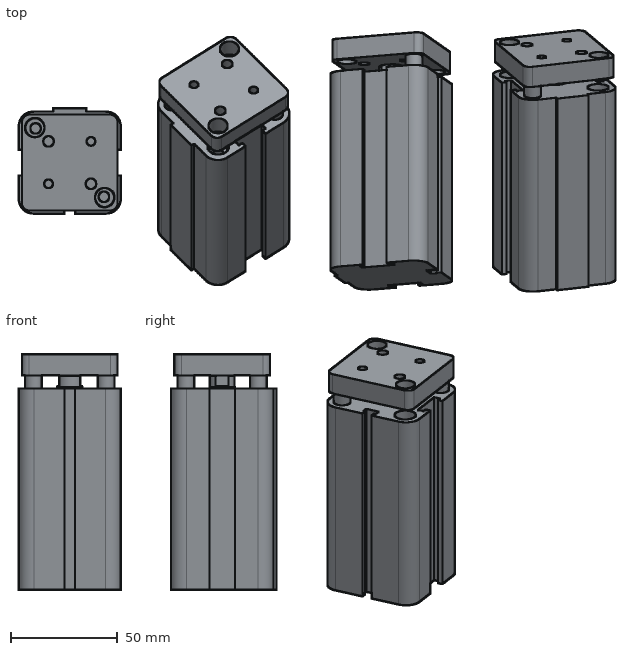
import cadquery as cq

total_height = 110.5
housing_width = 48.0
housing_corner_radius = 7.2

plate_width = 45.0
plate_thickness = 10.0
plate_corner_radius = 3.4
plate_gap = 6.1

plate_bottom = total_height - plate_thickness
housing_height = plate_bottom - plate_gap
half_width = housing_width / 2

rail_width = 15.7
rail_height = 1.5

side_slot_opening = 11.9
side_slot_channel = 16.0
front_slot_opening = 5.0
front_slot_channel = 6.6
slot_lip = 2.4
slot_depth = 5.4

screw_offset = 16.0
screw_diameter = 5.0
screw_head_diameter = 10.0
screw_head_depth = 5.6
screw_hole_depth = 14.5
access_offset = 16.4
access_diameter = 9.0

mount_offset = 10.0
dowel_diameter = 5.0
thread_diameter = 4.1

guide_offset = 17.0
guide_diameter = 8.0
piston_diameter = 11.7
piston_chamfer = 0.3
collar_diameter = 12.0
collar_height = 0.7
collar_chamfer_height = 0.3
collar_chamfer_width = (collar_diameter - piston_diameter) / 2
flat_width = 10.0
flat_start = 1.1


def falling_diagonal(offset):
    """Points in the back-left and front-right corners."""
    return [(-offset, offset), (offset, -offset)]


def rising_diagonal(offset):
    """Points in the front-left and back-right corners."""
    return [(-offset, -offset), (offset, offset)]


def t_slot(opening, channel, turn):
    """Full-height T-slot cutter for the front face, turned about Z to another face."""
    mouth = cq.Workplane("XY").box(opening, slot_depth, housing_height, centered=(True, False, False))
    channel_depth = slot_depth - slot_lip
    wide_part = (
        cq.Workplane("XY")
        .box(channel, channel_depth, housing_height, centered=(True, False, False))
        .translate((0, slot_lip, 0))
    )
    cutter = mouth.union(wide_part).translate((0, -half_width, 0))
    return cutter.rotate((0, 0, 0), (0, 0, 1), turn)


def make_housing():
    body = (
        cq.Workplane("XY")
        .box(housing_width, housing_width, housing_height, centered=(True, True, False))
        .edges("|Z")
        .fillet(housing_corner_radius)
    )
    rail_reach = half_width + rail_height
    rail = cq.Workplane("XY").box(rail_width, rail_reach, housing_height, centered=(True, False, False))
    body = body.union(rail)

    body = body.cut(t_slot(front_slot_opening, front_slot_channel, 0))
    for turn in (90, -90):
        body = body.cut(t_slot(side_slot_opening, side_slot_channel, turn))

    return (
        body.faces(">Z")
        .workplane(origin=(0, 0, housing_height))
        .pushPoints(falling_diagonal(screw_offset))
        .cboreHole(screw_diameter, screw_head_diameter, screw_head_depth, screw_hole_depth)
    )


def make_piston_rod():
    """Piston rod standing on the housing, with two wrench flats facing X and a collar at its foot."""
    rod = cq.Workplane("XY").circle(piston_diameter / 2).extrude(plate_gap)
    rod = rod.faces(">Z").chamfer(piston_chamfer)
    flat_block = (
        cq.Workplane("XY")
        .box(flat_width, piston_diameter, plate_gap, centered=(True, True, False))
        .translate((0, 0, flat_start))
    )
    foot = cq.Workplane("XY").circle(piston_diameter / 2).extrude(flat_start)
    rod = rod.intersect(flat_block.union(foot))
    collar = cq.Workplane("XY").circle(collar_diameter / 2).extrude(collar_height)
    collar = collar.faces(">Z").chamfer(collar_chamfer_height, collar_chamfer_width)
    return rod.union(collar).translate((0, 0, housing_height))


def make_drive_plate():
    """Plate with its guide rods and piston rod, as one moving body."""
    plate = (
        cq.Workplane("XY")
        .box(plate_width, plate_width, plate_thickness, centered=(True, True, False))
        .edges("|Z")
        .fillet(plate_corner_radius)
        .translate((0, 0, plate_bottom))
    )
    hole_groups = [
        (falling_diagonal(access_offset), access_diameter),
        (falling_diagonal(mount_offset), dowel_diameter),
        (rising_diagonal(mount_offset), thread_diameter),
    ]
    for points, diameter in hole_groups:
        holes = (
            cq.Workplane("XY", origin=(0, 0, plate_bottom))
            .pushPoints(points)
            .circle(diameter / 2)
            .extrude(plate_thickness)
        )
        plate = plate.cut(holes)

    guide_rods = (
        cq.Workplane("XY", origin=(0, 0, housing_height))
        .pushPoints(rising_diagonal(guide_offset))
        .circle(guide_diameter / 2)
        .extrude(plate_gap)
    )
    return plate.union(guide_rods).union(make_piston_rod())


housing = make_housing()
drive_plate = make_drive_plate()

result = cq.Compound.makeCompound([housing.val(), drive_plate.val()])